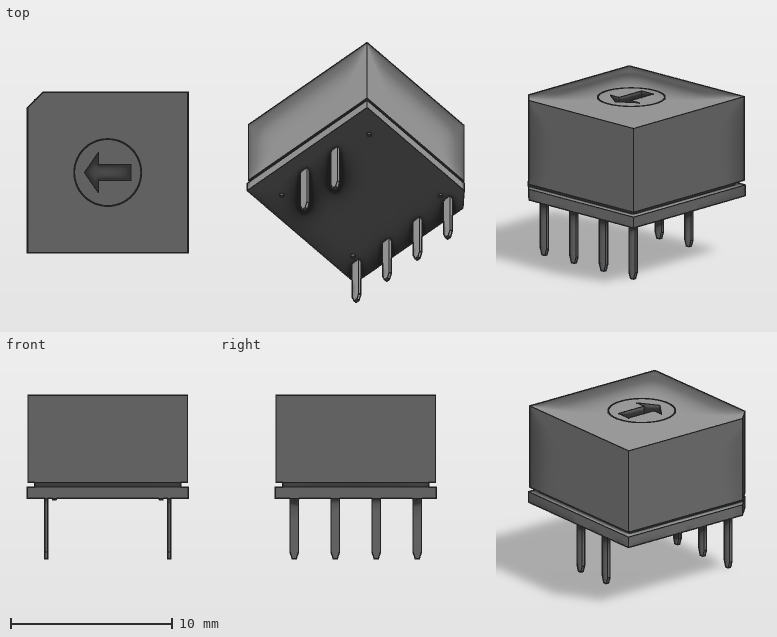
import cadquery as cq

total_height = 10.15
pin_length = 3.75
base_thickness = 0.7
neck_height = 0.3
base_top = base_thickness
cover_bottom = base_top + neck_height
cover_top = total_height - pin_length
cover_height = cover_top - cover_bottom

base_size = 10.0
cover_size = 9.9
neck_size = 9.06

base_bevel = 1.0
cover_bevel = base_bevel - (base_size - cover_size)

rotor_diameter = 4.1
rotor_hole_diameter = 4.2
groove_depth = 1.0

arrow_tip_x = -1.44
arrow_head_x = -0.58
arrow_tail_x = 1.44
arrow_head_half_width = 1.25
arrow_shaft_half_width = 0.5
arrow_depth = 1.2

pin_pitch = 2.54
left_pin_count = 4
right_pin_count = 2
row_spacing = 7.62
pin_width = 0.54
pin_thickness = 0.2
pin_tip_width = 0.25
pin_tip_length = 0.43

standoff_x = 3.3
standoff_y = 3.65
standoff_top_diameter = 0.3
standoff_bottom_diameter = 0.2
standoff_height = 0.1


def square_plate(size, bottom, height):
    return cq.Workplane("XY").workplane(offset=bottom).rect(size, size).extrude(height)


def bevelled_plate(size, bevel, bottom, height):
    """Square plate with its (-X, +Y) corner cut off."""
    return square_plate(size, bottom, height).edges("|Z and <X and >Y").chamfer(bevel)


def rotor_groove():
    return (
        cq.Workplane("XY")
        .workplane(offset=cover_top - groove_depth)
        .circle(rotor_hole_diameter / 2)
        .circle(rotor_diameter / 2)
        .extrude(groove_depth)
    )


def arrow_slot():
    return (
        cq.Workplane("XY")
        .workplane(offset=cover_top - arrow_depth)
        .moveTo(arrow_tip_x, 0)
        .lineTo(arrow_head_x, arrow_head_half_width)
        .lineTo(arrow_head_x, arrow_shaft_half_width)
        .lineTo(arrow_tail_x, arrow_shaft_half_width)
        .lineTo(arrow_tail_x, -arrow_shaft_half_width)
        .lineTo(arrow_head_x, -arrow_shaft_half_width)
        .lineTo(arrow_head_x, -arrow_head_half_width)
        .close()
        .extrude(arrow_depth)
    )


def pin(x, y):
    """Flat pin hanging from the base plate, tapering to a blunt tip."""
    taper_start = pin_tip_length - pin_length
    return (
        cq.Workplane("YZ", origin=(x, y, 0))
        .moveTo(-pin_width / 2, 0)
        .lineTo(-pin_width / 2, taper_start)
        .lineTo(-pin_tip_width / 2, -pin_length)
        .lineTo(pin_tip_width / 2, -pin_length)
        .lineTo(pin_width / 2, taper_start)
        .lineTo(pin_width / 2, 0)
        .close()
        .extrude(pin_thickness / 2, both=True)
    )


def standoff(x, y):
    cone = cq.Solid.makeCone(
        standoff_top_diameter / 2,
        standoff_bottom_diameter / 2,
        standoff_height,
        pnt=cq.Vector(x, y, 0),
        dir=cq.Vector(0, 0, -1),
    )
    return cq.Workplane(cone)


result = bevelled_plate(base_size, base_bevel, 0, base_thickness)
result = result.union(square_plate(neck_size, base_top, neck_height))
result = result.union(bevelled_plate(cover_size, cover_bevel, cover_bottom, cover_height))

result = result.cut(rotor_groove())
result = result.cut(arrow_slot())

for side, pin_count in ((-1, left_pin_count), (1, right_pin_count)):
    for index in range(pin_count):
        pin_y = (index - (pin_count - 1) / 2) * pin_pitch
        result = result.union(pin(side * row_spacing / 2, pin_y))
    for end in (-1, 1):
        result = result.union(standoff(side * standoff_x, end * standoff_y))